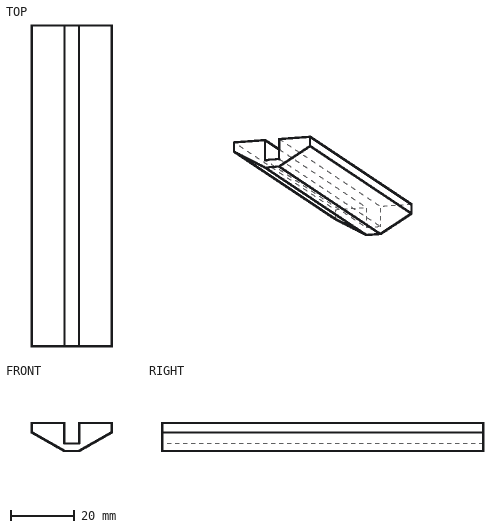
import cadquery as cq

width = 25.4
length = 101.6
height = 8.9

side_height = 3.0
bottom_width = 4.7
slot_width = 4.7
slot_depth = 6.5

top_z = height / 2
bottom_z = -height / 2
side_bottom_z = top_z - side_height
outline = [
    (-width / 2, top_z),
    (-width / 2, side_bottom_z),
    (-bottom_width / 2, bottom_z),
    (bottom_width / 2, bottom_z),
    (width / 2, side_bottom_z),
    (width / 2, top_z),
]
body = cq.Workplane("XZ").polyline(outline).close().extrude(length / 2, both=True)

slot = (
    cq.Workplane("XY")
    .box(slot_width, length, slot_depth)
    .translate((0, 0, top_z - slot_depth / 2))
)

result = body.cut(slot)